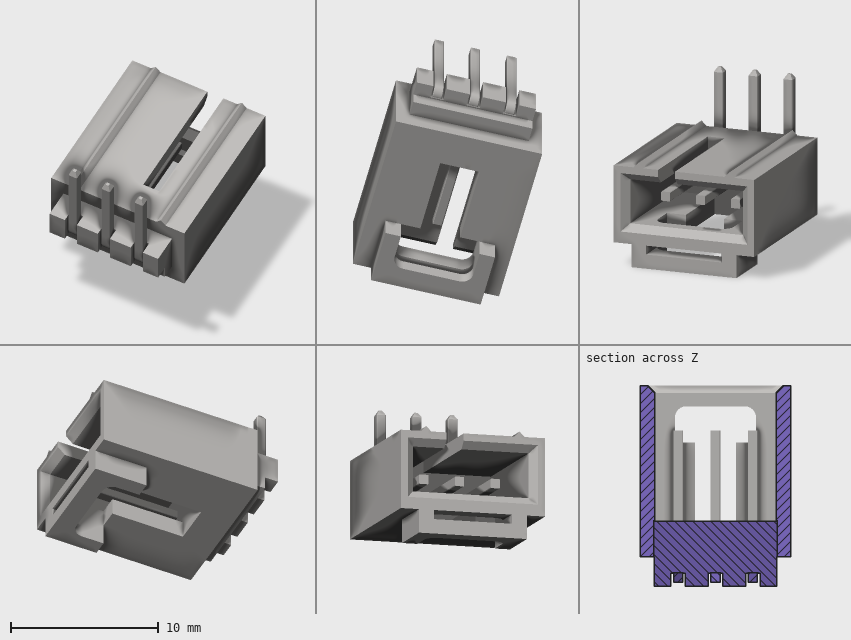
import cadquery as cq


housing_width = 10.21
housing_length = 11.6
housing_height = 5.4
ridge_offset = 3.3
ridge_width = 0.72
ridge_height = 0.35

cavity_floor = 1.3
wall_thickness = 1.0
mouth_chamfer = 0.5
front_wall = 2.43
roof_slot_left = 0.65
roof_slot_right = 1.88
floor_slot_width = 2.77

frame_width = 7.65
frame_length = 3.85
frame_depth = 1.62
window_width = 5.5
crossbar_length = 1.41
crossbar_height = 0.99
window_corner_radius = 0.78

insert_width = 8.32
insert_height = 2.98
insert_overhang = 2.0
insert_undercut_length = 0.98
insert_undercut_height = 0.98
recess_width = 0.92
recess_depth = 0.88

pin_count = 3
pin_pitch = 2.53
pin_width = 0.65
pin_edge_chamfer = 0.04
pin_setback = 0.58
pin_gap_below = 0.08
pin_bend_inner_radius = 0.01
pin_top = 9.26
pin_tip_length = 0.34
pin_tip_width = 0.22
pin_reach = 6.12

cavity_width = housing_width - 2 * wall_thickness
cavity_top = housing_height - wall_thickness
cavity_height = cavity_top - cavity_floor
insert_top = cavity_floor + insert_height
crossbar_front = housing_length - crossbar_length
frame_front = housing_length - frame_length
insert_front = -insert_overhang
undercut_top = cavity_floor + insert_undercut_height
pin_y = insert_front + pin_setback
pin_z = undercut_top + pin_gap_below + pin_width / 2


def box(x_min, x_max, y_min, y_max, z_min, z_max):
    """Box between two opposite corners."""
    size = (x_max - x_min, y_max - y_min, z_max - z_min)
    return cq.Workplane("XY").box(*size, centered=False).translate((x_min, y_min, z_min))


def centred_box(width, y_min, y_max, z_min, z_max):
    """Box centred on the middle plane."""
    return box(-width / 2, width / 2, y_min, y_max, z_min, z_max)


def make_ridge(x):
    """Triangular ridge along the whole length of the housing roof."""
    return (
        cq.Workplane("XZ")
        .moveTo(x - ridge_width / 2, housing_height)
        .lineTo(x, housing_height + ridge_height)
        .lineTo(x + ridge_width / 2, housing_height)
        .close()
        .extrude(-housing_length)
    )


def make_mouth():
    """Cavity lead-in: a pyramid frustum that widens towards the rear face."""
    return (
        cq.Workplane("XZ", origin=(0, housing_length, cavity_floor + cavity_height / 2))
        .rect(cavity_width + 2 * mouth_chamfer, cavity_height + 2 * mouth_chamfer)
        .workplane(offset=mouth_chamfer)
        .rect(cavity_width, cavity_height)
        .loft(combine=True)
    )


def make_housing():
    body = centred_box(housing_width, 0, housing_length, 0, housing_height)
    for side in (-1, 1):
        body = body.union(make_ridge(side * ridge_offset))
    body = body.union(centred_box(frame_width, frame_front, housing_length, -frame_depth, 0))

    body = body.cut(centred_box(cavity_width, front_wall, housing_length, cavity_floor, cavity_top))
    body = body.cut(centred_box(insert_width, 0, front_wall, cavity_floor, insert_top))
    body = body.cut(make_mouth())

    body = body.cut(
        box(roof_slot_left, roof_slot_right, front_wall, housing_length, cavity_top, housing_height)
    )

    window = centred_box(window_width, frame_front, crossbar_front, -frame_depth, cavity_floor)
    body = body.cut(window.edges("|Z and >Y").fillet(window_corner_radius))

    body = body.cut(
        centred_box(window_width, frame_front, housing_length, crossbar_height - frame_depth, 0)
    )

    return body.cut(centred_box(floor_slot_width, front_wall, frame_front, 0, cavity_floor))


def make_pin_section():
    """Square with chamfered corners."""
    return cq.Sketch().rect(pin_width, pin_width).vertices().chamfer(pin_edge_chamfer)


def make_tip():
    """Blunt pyramid that keeps the chamfered corners of the pin at its base."""
    pyramid = (
        cq.Workplane("XY")
        .rect(pin_width, pin_width)
        .workplane(offset=pin_tip_length)
        .rect(pin_tip_width, pin_tip_width)
        .loft(combine=True)
    )
    bar = cq.Workplane("XY").placeSketch(make_pin_section()).extrude(pin_tip_length)
    return pyramid.intersect(bar)


def make_pin(x):
    """Right-angle pin: level through the insert, then bent upwards to a blunt tip."""
    bend_radius = pin_bend_inner_radius + pin_width / 2
    inner_end = front_wall + pin_reach
    shoulder_z = pin_top - pin_tip_length
    axis = (
        cq.Workplane("YZ", origin=(x, 0, 0))
        .moveTo(inner_end, pin_z)
        .lineTo(pin_y + bend_radius, pin_z)
        .tangentArcPoint((pin_y, pin_z + bend_radius), relative=False)
        .lineTo(pin_y, shoulder_z)
    )
    shank = (
        cq.Workplane("XZ", origin=(x, inner_end, pin_z))
        .placeSketch(make_pin_section())
        .sweep(axis)
    )
    return shank.union(make_tip().translate((x, pin_y, shoulder_z)))


def make_insert(pins, pin_places):
    """Stepped block in the front opening, with a recess in front of each pin."""
    body = centred_box(insert_width, insert_front, front_wall, cavity_floor, insert_top)
    undercut_back = insert_front + insert_undercut_length
    body = body.cut(
        centred_box(insert_width, insert_front, undercut_back, cavity_floor, undercut_top)
    )
    recess = centred_box(
        recess_width, insert_front, insert_front + recess_depth, undercut_top, insert_top
    )
    for x in pin_places:
        body = body.cut(recess.translate((x, 0, 0)))
    for pin in pins:
        body = body.cut(pin)
    return body


pin_places = [(i - (pin_count - 1) / 2) * pin_pitch for i in range(pin_count)]
pins = [make_pin(x) for x in pin_places]
insert = make_insert(pins, pin_places)
housing = make_housing()

result = cq.Compound.makeCompound(
    [
        *housing.solids().vals(),
        *insert.solids().vals(),
        *[solid for pin in pins for solid in pin.solids().vals()],
    ]
)